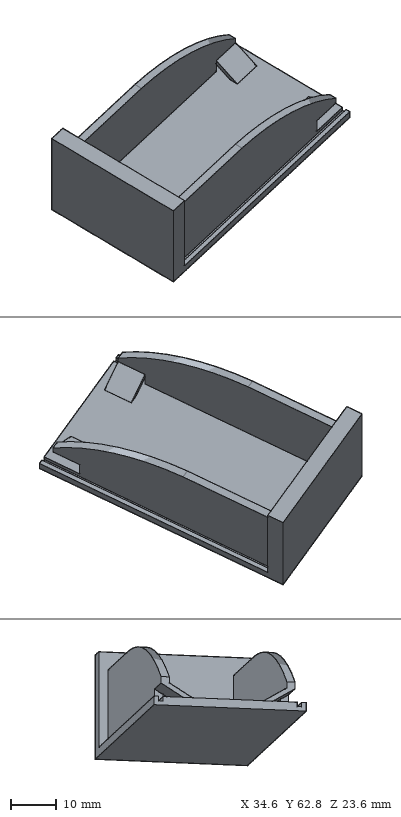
import cadquery as cq
import math

width = 34.6
length = 62.8
front_height = 23.6

front_thickness = 3.95
base_thickness = 1.95
groove_width = 1.0
groove_depth = 1.0
rim_width = 1.05

wall_thickness = 1.9
wall_top = 19.5
wall_rear_y = 60.55
wall_rear_top = 6.9
arc_start_y = 27.0
arc_bulge = 2.95
wall_outer_x = width / 2 - rim_width - groove_width
wall_inner_x = wall_outer_x - wall_thickness

ramp_length = 6.9
ramp_foot_x = 7.35
ramp_angle = 31.0
ramp_depth = 1.25
ramp_slope = math.tan(math.radians(ramp_angle))
ramp_outer_top = base_thickness + (wall_outer_x - ramp_foot_x) * ramp_slope


def block(x_start, x_size, y_start, y_end, z_start, z_end):
    """Axis-aligned block placed by its lowest corner."""
    size = (x_size, y_end - y_start, z_end - z_start)
    return cq.Workplane("XY").box(*size, centered=False).translate((x_start, y_start, z_start))


def extrude_rear_section(points):
    """Extrude an X-Z outline over the length of the ramps."""
    return (
        cq.Workplane("XZ", origin=(0, wall_rear_y, 0))
        .polyline(points)
        .close()
        .extrude(ramp_length)
    )


def make_wall():
    """Right side wall with an arc falling from its flat top to its rear end."""
    return (
        cq.Workplane("YZ", origin=(wall_inner_x, 0, 0))
        .moveTo(front_thickness, base_thickness)
        .lineTo(front_thickness, wall_top)
        .lineTo(arc_start_y, wall_top)
        .sagittaArc((wall_rear_y, wall_rear_top), arc_bulge)
        .lineTo(wall_rear_y, base_thickness)
        .close()
        .extrude(wall_thickness)
    )


def make_wall_notch():
    """Opening through the foot of the right wall, beneath the ramp."""
    underside_outer = ramp_outer_top - ramp_depth
    underside_inner = underside_outer - wall_thickness * ramp_slope
    return extrude_rear_section([
        (wall_inner_x, base_thickness),
        (wall_outer_x, base_thickness),
        (wall_outer_x, underside_outer),
        (wall_inner_x, underside_inner),
    ])


def make_ramp():
    """Right sloping plate rising from the base to the outer face of the wall."""
    underside_foot_x = ramp_foot_x + ramp_depth / ramp_slope
    return extrude_rear_section([
        (ramp_foot_x, base_thickness),
        (wall_outer_x, ramp_outer_top),
        (wall_outer_x, ramp_outer_top - ramp_depth),
        (underside_foot_x, base_thickness),
    ])


def make_groove():
    """Right groove in the top of the base, open at the rear."""
    groove_floor = base_thickness - groove_depth
    return block(wall_outer_x, groove_width, front_thickness, length, groove_floor, base_thickness)


front_panel = block(-width / 2, width, 0, front_thickness, 0, front_height)
base = block(-width / 2, width, 0, length, 0, base_thickness)
right_side = make_wall().cut(make_wall_notch()).union(make_ramp())
right_groove = make_groove()

result = (
    base.union(front_panel)
    .union(right_side)
    .union(right_side.mirror("YZ"))
    .cut(right_groove)
    .cut(right_groove.mirror("YZ"))
)